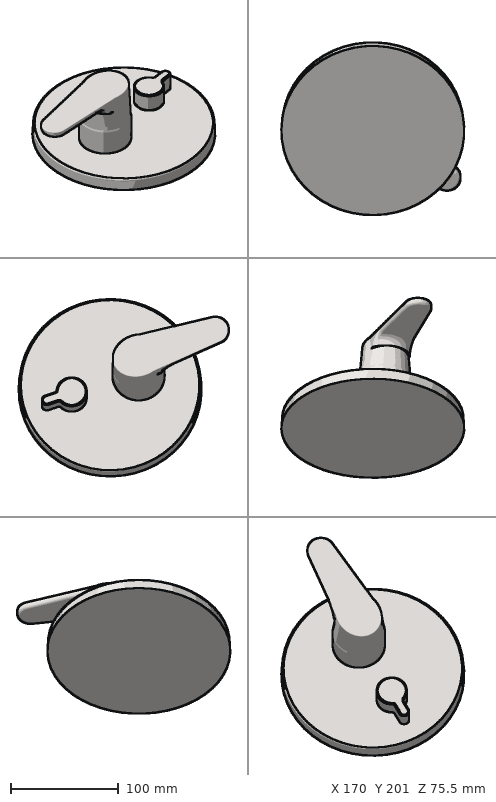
import cadquery as cq
import math

total_length = 201
cut_margin = 2
pick_margin = 0.2

plate_radius = 170.0 / 2
plate_rim_inset = 0.6
plate_side_height = 9.7
plate_edge_height = 12.3
plate_peak_height = 13.3
plate_edge_width = 1.6

body_y = -28.0
body_radius = 24.3
body_height = 37.5
seam_height = 1.8
seam_depth = 0.5

hub_base = body_height + seam_height
hub_base_radius = body_radius - seam_depth
hub_top_half_width = 20.3
hub_back_y = body_y + body_radius
handle_back_height = 73.8
handle_top = 75.5
lever_root_inset = 0.2
lever_root_half_width = hub_top_half_width - lever_root_inset
lever_tip_y = plate_radius - total_length
lever_tip_half_width = 12.7
lever_tip_length = 11.3
lever_underside = 68.4
lever_underside_edge = 3.6
lever_root_radius = 8.8
lever_root_z = lever_underside - lever_root_radius
handle_top_edge = 0.8

knob_y = 37.8
knob_radius = 14.0
knob_bottom = 15.0
knob_top = 32.4
knob_edge = 1.0
neck_radius = 12.3
tab_half_width = 9.5 / 2
tab_tip_y = 67.0
tab_root_radius = 2.5


def make_plate():
    rim_radius = plate_radius - plate_rim_inset
    profile = (
        cq.Workplane("XZ")
        .lineTo(plate_radius, 0)
        .lineTo(rim_radius, plate_side_height)
        .threePointArc(
            (
                rim_radius - plate_edge_width * (1 - math.sqrt(0.5)),
                plate_side_height + (plate_edge_height - plate_side_height) * math.sqrt(0.5),
            ),
            (rim_radius - plate_edge_width, plate_edge_height),
        )
        .lineTo(0, plate_peak_height)
        .close()
    )
    return profile.revolve(360, (0, 0, 0), (0, 1, 0))


def make_body():
    lower = cq.Workplane("XY").center(0, body_y).circle(body_radius).extrude(body_height)
    seam = (
        cq.Workplane("XY", origin=(0, body_y, body_height))
        .circle(body_radius)
        .workplane(offset=seam_height)
        .circle(hub_base_radius)
        .loft()
    )
    return lower.union(seam)


def make_lever():
    tip_start_y = lever_tip_y + lever_tip_length
    plan = (
        cq.Workplane("XY", origin=(0, 0, lever_root_z))
        .moveTo(lever_tip_half_width, tip_start_y)
        .lineTo(lever_root_half_width, body_y)
        .lineTo(-lever_root_half_width, body_y)
        .lineTo(-lever_tip_half_width, tip_start_y)
        .threePointArc((0, lever_tip_y), (lever_tip_half_width, tip_start_y))
        .close()
        .extrude(handle_top - lever_root_z)
    )
    root_x = body_radius + lever_root_radius
    diagonal = lever_root_radius * math.sqrt(0.5)
    reach = body_y - lever_tip_y + cut_margin
    clearance = (
        cq.Workplane("XZ", origin=(0, body_y, 0))
        .moveTo(body_radius, hub_base)
        .lineTo(body_radius, lever_root_z)
        .threePointArc((root_x - diagonal, lever_root_z + diagonal), (root_x, lever_underside))
        .lineTo(reach, lever_underside)
        .lineTo(reach, hub_base)
        .close()
        .revolve(360, (0, 0, 0), (0, 1, 0))
    )
    lever = plan.cut(clearance)
    underside = cq.selectors.BoxSelector(
        (-body_radius, lever_tip_y - cut_margin, lever_underside - pick_margin),
        (body_radius, body_y - root_x - pick_margin, lever_underside + pick_margin),
    )
    return lever.edges(underside).fillet(lever_underside_edge)


def make_handle():
    hub = (
        cq.Workplane("XY", origin=(0, body_y, hub_base))
        .circle(hub_base_radius)
        .workplane(offset=handle_top - hub_base)
        .ellipse(hub_top_half_width, body_radius)
        .loft()
    )
    handle = hub.union(make_lever())
    above_top = (
        cq.Workplane("YZ")
        .moveTo(hub_back_y + cut_margin, handle_back_height)
        .lineTo(lever_tip_y, handle_top)
        .lineTo(hub_back_y + cut_margin, handle_top + cut_margin)
        .close()
        .extrude(body_radius, both=True)
    )
    return handle.cut(above_top).faces(">Z").edges().fillet(handle_top_edge)


def make_knob():
    cap_height = knob_top - knob_bottom
    tab_round_y = tab_tip_y - tab_half_width
    cap = cq.Workplane("XY", origin=(0, knob_y, knob_bottom)).circle(knob_radius).extrude(cap_height)
    tab = (
        cq.Workplane("XY", origin=(0, 0, knob_bottom))
        .moveTo(-tab_half_width, knob_y)
        .lineTo(-tab_half_width, tab_round_y)
        .threePointArc((0, tab_tip_y), (tab_half_width, tab_round_y))
        .lineTo(tab_half_width, knob_y)
        .close()
        .extrude(cap_height)
    )
    tab_root = cq.selectors.BoxSelector(
        (-tab_half_width - pick_margin, knob_y, knob_bottom),
        (tab_half_width + pick_margin, knob_y + knob_radius, knob_top),
    )
    knob = cap.union(tab)
    knob = knob.edges("|Z").edges(tab_root).fillet(tab_root_radius)
    knob = knob.faces(">Z").edges().chamfer(knob_edge)
    neck = cq.Workplane("XY").center(0, knob_y).circle(neck_radius).extrude(knob_bottom)
    return knob.union(neck)


result = make_plate().union(make_body()).union(make_handle()).union(make_knob())